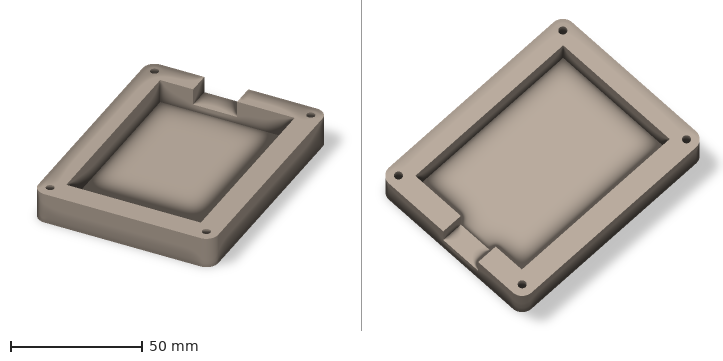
import cadquery as cq

width = 76.5
length = 98.5
height = 13.0
corner_radius = 5.0

pocket_width = 57.2
pocket_length = 79.6
floor_thickness = 3.0

notch_width = 18.7
notch_center_x = -5.2
notch_depth = 7.0

hole_diameter = 3.4
hole_spacing_x = width - 2 * corner_radius
hole_spacing_y = length - 2 * corner_radius


def make_block():
    block = cq.Workplane("XY").box(width, length, height, centered=(True, True, False))
    return block.edges("|Z").fillet(corner_radius)


def make_pocket():
    pocket = cq.Workplane("XY").workplane(offset=floor_thickness)
    return pocket.rect(pocket_width, pocket_length).extrude(height - floor_thickness)


def make_notch():
    notch = cq.Workplane("XY").workplane(offset=height - notch_depth)
    notch = notch.center(notch_center_x, length / 4)
    return notch.rect(notch_width, length / 2).extrude(notch_depth)


def make_holes():
    holes = cq.Workplane("XY").rect(hole_spacing_x, hole_spacing_y, forConstruction=True)
    return holes.vertices().circle(hole_diameter / 2).extrude(height)


result = make_block().cut(make_pocket()).cut(make_notch()).cut(make_holes())